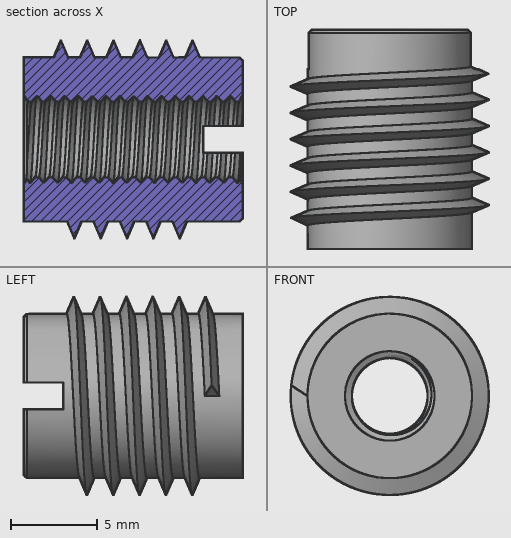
import cadquery as cq
import math

body_length = 12.7
body_radius = 4.76
back_chamfer = 0.19

outer_pitch = 1.52
outer_crest_radius = 5.74
outer_root_width = 0.84
outer_start = 1.79
outer_turns = 5.5
outer_end_rise = 0.61

bore_radius = 2.18
inner_pitch = 0.8
inner_root_radius = 2.5
inner_turns = math.ceil(body_length / inner_pitch) + 2
inner_start_angle = -80.0
inner_crest_flat = 0.22
mouth_radius = 2.59
mouth_depth = 0.22

slot_width = 1.52
slot_depth = 2.29

overlap = 0.13
groove_overlap = 0.06


def helical_ridge(points, path_radius, pitch, turns):
    """Sweep a closed (radius, axial) profile along a right-hand helix about Z, starting on +X."""
    path = cq.Wire.makeHelix(pitch, pitch * turns, path_radius)
    profile = cq.Workplane("XZ").polyline(points).close()
    return profile.sweep(cq.Workplane(obj=path), isFrenet=True)


def along_y(shape):
    """Turn a shape built along +Z so that it runs along +Y."""
    return shape.rotate((0, 0, 0), (1, 0, 0), -90)


def make_body():
    body = cq.Workplane("XY").circle(body_radius).extrude(body_length)
    return along_y(body.faces(">Z").chamfer(back_chamfer))


def make_end_trim():
    """Prism whose slanted side trims the thread's starting end, on -X."""
    crest_x = -math.sqrt(outer_crest_radius**2 - outer_end_rise**2)
    slope = outer_end_rise / (crest_x + body_radius)
    inner_x = -body_radius + 2 * overlap
    outer_x = crest_x - 2 * overlap
    corners = [
        (inner_x, slope * (inner_x + body_radius)),
        (outer_x, slope * (outer_x + body_radius)),
        (outer_x, -overlap),
        (inner_x, -2 * overlap),
    ]
    trim = cq.Workplane("XZ").polyline(corners).close().extrude(-outer_pitch)
    return trim.translate((0, outer_start - outer_pitch / 2, 0))


def make_outer_thread():
    buried_radius = body_radius - overlap
    flank_slope = outer_root_width / 2 / (outer_crest_radius - body_radius)
    half_base = flank_slope * (outer_crest_radius - buried_radius)
    profile = [(buried_radius, -half_base), (outer_crest_radius, 0), (buried_radius, half_base)]
    ridge = helical_ridge(profile, body_radius, outer_pitch, outer_turns)
    ridge = ridge.rotate((0, 0, 0), (0, 0, 1), 180)
    ridge = along_y(ridge).translate((0, outer_start, 0))

    start_trim = make_end_trim()
    mid_thread = outer_start + outer_pitch * outer_turns / 2
    end_trim = start_trim.rotate((0, mid_thread, 0), (0, mid_thread, 1), 180)
    return ridge.cut(start_trim).cut(end_trim)


def make_inner_groove():
    half_mouth = (inner_pitch - inner_crest_flat) / 2
    flank_slope = half_mouth / (inner_root_radius - bore_radius)
    inside_radius = bore_radius - groove_overlap
    half_inside = half_mouth + flank_slope * groove_overlap
    profile = [
        (inside_radius, -half_inside),
        (inner_root_radius, 0),
        (inside_radius, half_inside),
    ]
    return along_y(helical_ridge(profile, bore_radius, inner_pitch, inner_turns))


def make_tap():
    """Bore rod joined with the groove ridge, reaching past both ends of the body."""
    rod_length = inner_pitch * (inner_turns + 2)
    rod = along_y(cq.Workplane("XY").circle(bore_radius).extrude(rod_length))
    tap = rod.translate((0, -inner_pitch, 0)).union(make_inner_groove())
    tap = tap.rotate((0, 0, 0), (0, 1, 0), inner_start_angle)
    return tap.translate((0, -inner_pitch, 0))


def make_mouth_cone():
    """Cone that widens the front mouth, reaching past the front face and into the bore."""
    slope = (mouth_radius - bore_radius) / mouth_depth
    tip_depth = mouth_radius / slope
    half_section = [(0, -overlap), (mouth_radius + slope * overlap, -overlap), (0, tip_depth)]
    return cq.Workplane("XY").polyline(half_section).close().revolve(360, (0, 0, 0), (0, 1, 0))


def make_slot():
    slot_length = 2 * (outer_crest_radius + overlap)
    slot = cq.Workplane("XY").box(slot_length, slot_depth + overlap, slot_width, centered=(True, False, True))
    return slot.translate((0, body_length - slot_depth, 0))


mouth_cone = make_mouth_cone()
middle = (0, body_length / 2, 0)
back_mouth_cone = mouth_cone.rotate(middle, (0, body_length / 2, 1), 180)

result = make_body().union(make_outer_thread())
result = result.cut(make_tap()).cut(mouth_cone).cut(back_mouth_cone).cut(make_slot())